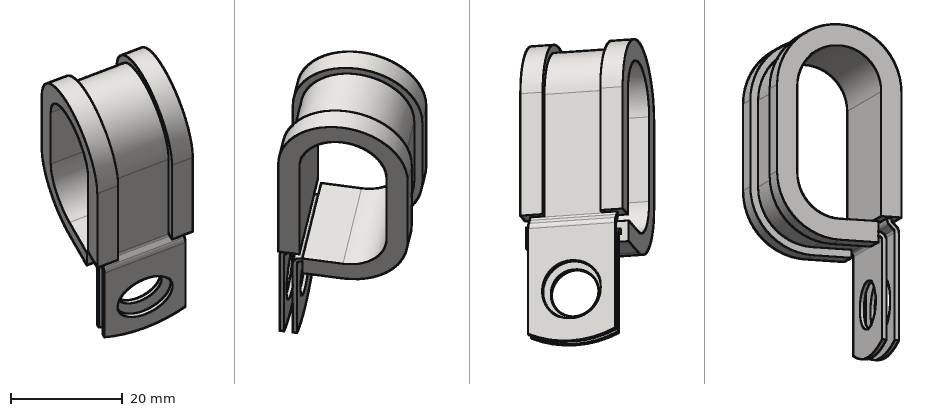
import cadquery as cq
import math


outer_radius = 11.795
cushion_thickness = 3.85
inner_radius = outer_radius - cushion_thickness
bend_spacing = 15.8
clamp_width = 18.9
leg_end_z = -6.95
lip_end_x = 7.4
groove_depth = 1.45
groove_width = 10.65

strap_thickness = 0.8
strap_width = 16.05
bend_inner_radius = 0.7
bend_outer_radius = bend_inner_radius + strap_thickness
strap_radius = outer_radius - groove_depth
strap_inner_radius = strap_radius - strap_thickness
embed_length = 1.75

overall_height = 58.55
tab_bottom_z = bend_spacing + outer_radius - overall_height
tab_end_sagitta = 1.785
lip_tab_outer_x = 9.4
jog_start_z = -7.55
lip_hole_diameter = 8.8
leg_hole_diameter = 10.85
hole_z = -21.35


def extrude_centred(profile, width):
    """Extrude an X-Z profile symmetrically about Y = 0."""
    return profile.extrude(width / 2, both=True)


def loop(outside, inside, width):
    """Open loop: long right leg, two left bends and a short bottom lip."""
    profile = (
        cq.Workplane("XZ")
        .moveTo(outside, leg_end_z)
        .lineTo(outside, bend_spacing)
        .threePointArc((0, bend_spacing + outside), (-outside, bend_spacing))
        .lineTo(-outside, 0)
        .radiusArc((0, -outside), -outside)
        .lineTo(lip_end_x, -outside)
        .lineTo(lip_end_x, -inside)
        .lineTo(0, -inside)
        .radiusArc((-inside, 0), inside)
        .lineTo(-inside, bend_spacing)
        .threePointArc((0, bend_spacing + inside), (inside, bend_spacing))
        .lineTo(inside, leg_end_z)
        .close()
    )
    return extrude_centred(profile, width)


def lip_tab():
    """Strap leaving the bottom lip and bending down through a right angle."""
    inner_x = lip_tab_outer_x - strap_thickness
    bend_x = lip_tab_outer_x - bend_outer_radius
    bend_z = -strap_inner_radius - bend_outer_radius
    start_x = lip_end_x - embed_length
    profile = (
        cq.Workplane("XZ")
        .moveTo(start_x, -strap_inner_radius)
        .lineTo(bend_x, -strap_inner_radius)
        .radiusArc((lip_tab_outer_x, bend_z), bend_outer_radius)
        .lineTo(lip_tab_outer_x, tab_bottom_z)
        .lineTo(inner_x, tab_bottom_z)
        .lineTo(inner_x, bend_z)
        .radiusArc((bend_x, -strap_radius), -bend_inner_radius)
        .lineTo(start_x, -strap_radius)
        .close()
    )
    return extrude_centred(profile, strap_width)


def leg_tab():
    """Strap leaving the right leg and jogging out at 45 degrees to the outer face."""
    corner_shift = strap_thickness / 2 * math.tan(math.radians(22.5))
    jog_end_z = jog_start_z - groove_depth
    tab_inner_x = outer_radius - strap_thickness
    start_z = leg_end_z + embed_length
    profile = cq.Workplane("XZ").polyline([
        (strap_inner_radius, start_z),
        (strap_radius, start_z),
        (strap_radius, jog_start_z + corner_shift),
        (outer_radius, jog_end_z + corner_shift),
        (outer_radius, tab_bottom_z),
        (tab_inner_x, tab_bottom_z),
        (tab_inner_x, jog_end_z - corner_shift),
        (strap_inner_radius, jog_start_z - corner_shift),
    ]).close()
    tab = extrude_centred(profile, strap_width)
    bends = [
        (strap_radius, jog_start_z + corner_shift, bend_inner_radius),
        (strap_inner_radius, jog_start_z - corner_shift, bend_outer_radius),
        (outer_radius, jog_end_z + corner_shift, bend_outer_radius),
        (tab_inner_x, jog_end_z - corner_shift, bend_inner_radius),
    ]
    for corner_x, corner_z, radius in bends:
        corner = cq.selectors.NearestToPointSelector((corner_x, 0, corner_z))
        tab = tab.edges("|Y").edges(corner).fillet(radius)
    return tab


def mounting_hole(diameter):
    """Round cutter through a tab along X."""
    return (
        cq.Workplane("YZ")
        .center(0, hole_z)
        .circle(diameter / 2)
        .extrude(2 * outer_radius)
    )


def tab_outline():
    """Tab shape seen along X: straight sides and a bowed lower end."""
    half_width = strap_width / 2
    corner_z = tab_bottom_z + tab_end_sagitta
    return (
        cq.Workplane("YZ")
        .moveTo(-half_width, 0)
        .lineTo(-half_width, corner_z)
        .threePointArc((0, tab_bottom_z), (half_width, corner_z))
        .lineTo(half_width, 0)
        .close()
        .extrude(2 * outer_radius)
    )


cushion = loop(outer_radius, inner_radius, clamp_width)
groove = loop(outer_radius, strap_radius, groove_width)
drilled_lip_tab = lip_tab().cut(mounting_hole(lip_hole_diameter))
drilled_leg_tab = leg_tab().cut(mounting_hole(leg_hole_diameter))
tabs = drilled_lip_tab.union(drilled_leg_tab).intersect(tab_outline())

result = cushion.cut(groove).union(tabs)